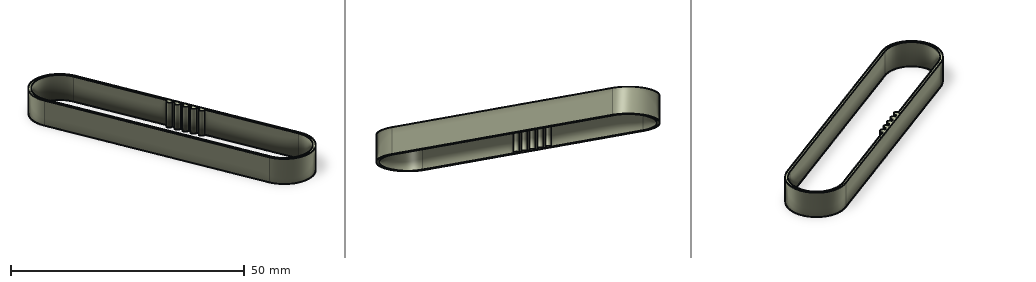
import cadquery as cq

length = 68.5
width = 13.5
height = 6.0
wall = 0.6

rib_count = 5
rib_pitch = 2.0
rib_radius = 0.7
rib_depth = 0.8

inner_wall_y = width / 2 - wall


def make_band():
    """Thin-walled loop with straight sides and semicircular ends."""
    outer = cq.Workplane("XY").slot2D(length, width).extrude(height)
    opening = cq.Workplane("XY").slot2D(length - 2 * wall, width - 2 * wall).extrude(height)
    return outer.cut(opening)


def make_rib(x):
    """Full-height round-nosed rib, rooted in the wall and pointing inward."""
    root_y = inner_wall_y + wall / 2
    tip_y = inner_wall_y - rib_depth
    nose_y = tip_y + rib_radius
    return (
        cq.Workplane("XY")
        .moveTo(x - rib_radius, root_y)
        .lineTo(x - rib_radius, nose_y)
        .threePointArc((x, tip_y), (x + rib_radius, nose_y))
        .lineTo(x + rib_radius, root_y)
        .close()
        .extrude(height)
    )


result = make_band()
for index in range(rib_count):
    rib_x = (index - (rib_count - 1) / 2) * rib_pitch
    result = result.union(make_rib(rib_x))